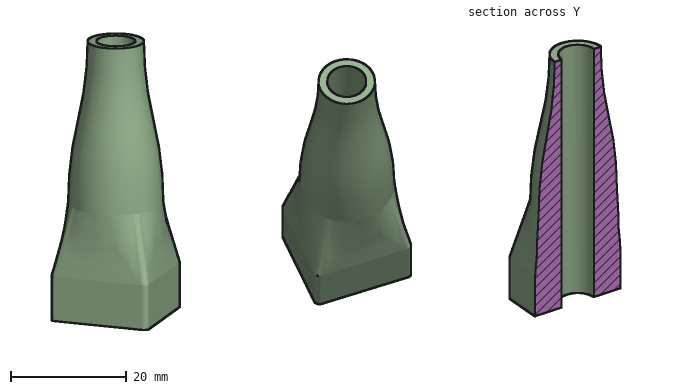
import cadquery as cq
import math

base_x = 18.0
base_y = 17.0
base_height = 8.0
corner_radius = 1.0

total_height = 49.0
body_bottom_z = 19.9
neck_z = 34.95
body_radius = 8.3
neck_radius = 6.5
tip_radius = 4.9

bore_radius = 3.4


def point_on_circle(angle):
    """Point at an angle, in radians, on the circle under the sleeve."""
    return cq.Vector(body_radius * math.cos(angle), body_radius * math.sin(angle), body_bottom_z)


def make_base():
    block = cq.Workplane("XY").box(base_x, base_y, base_height, centered=(True, True, False))
    return block.edges("|Z").fillet(corner_radius)


def corner_points():
    """Start and end points of the four rounded corners, counterclockwise from +X +Y."""
    half_x = base_x / 2
    half_y = base_y / 2
    flat_x = half_x - corner_radius
    flat_y = half_y - corner_radius
    return [
        (half_x, flat_y), (flat_x, half_y),
        (-flat_x, half_y), (-half_x, flat_y),
        (-half_x, -flat_y), (-flat_x, -half_y),
        (flat_x, -half_y), (half_x, -flat_y),
    ]


def rectangle_wire():
    """Rounded rectangle at the top of the base."""
    points = corner_points()
    edges = []
    for i, (x, y) in enumerate(points):
        next_x, next_y = points[(i + 1) % len(points)]
        start = cq.Vector(x, y, base_height)
        end = cq.Vector(next_x, next_y, base_height)
        if i % 2 == 1:
            edges.append(cq.Edge.makeLine(start, end))
            continue
        center_x = math.copysign(base_x / 2 - corner_radius, x)
        center_y = math.copysign(base_y / 2 - corner_radius, y)
        diagonal = corner_radius / math.sqrt(2)
        middle = cq.Vector(
            center_x + math.copysign(diagonal, x),
            center_y + math.copysign(diagonal, y),
            base_height,
        )
        edges.append(cq.Edge.makeThreePointArc(start, middle, end))
    return cq.Wire.assembleEdges(edges)


def circle_wire():
    """Circle under the sleeve, split where radial lines to the corner points cross it."""
    angles = [math.atan2(y, x) % (2 * math.pi) for x, y in corner_points()]
    angles.append(angles[0] + 2 * math.pi)
    edges = []
    for start, end in zip(angles, angles[1:]):
        points = [point_on_circle(angle) for angle in (start, (start + end) / 2, end)]
        edges.append(cq.Edge.makeThreePointArc(*points))
    return cq.Wire.assembleEdges(edges)


def make_transition():
    """Ruled loft from the rectangular base to the round sleeve."""
    return cq.Workplane(cq.Solid.makeLoft([rectangle_wire(), circle_wire()], True))


def arc_radius(rise, inset):
    """Radius of an arc that is vertical at one end and spans the given rise and inset."""
    return (rise**2 + inset**2) / (2 * inset)


def make_sleeve():
    """Revolved S-shaped profile, vertical at both its bottom and its tip."""
    body_arc_radius = arc_radius(neck_z - body_bottom_z, body_radius - neck_radius)
    neck_arc_radius = arc_radius(total_height - neck_z, neck_radius - tip_radius)
    profile = (
        cq.Workplane("XZ")
        .moveTo(0, body_bottom_z)
        .lineTo(body_radius, body_bottom_z)
        .radiusArc((neck_radius, neck_z), -body_arc_radius)
        .radiusArc((tip_radius, total_height), neck_arc_radius)
        .lineTo(0, total_height)
        .close()
    )
    return profile.revolve(360, (0, 0, 0), (0, 1, 0))


bore = cq.Workplane("XY").circle(bore_radius).extrude(total_height)
result = make_base().union(make_transition()).union(make_sleeve()).cut(bore)